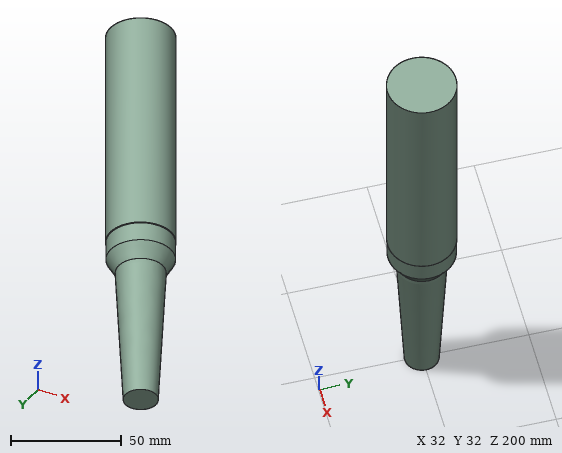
import math

import cadquery as cq

total_length = 200.0
shank_diameter = 32.0
collar_diameter = 31.6
neck_diameter = 23.1
tip_diameter = 16.0
neck_top_height = 70.0
shank_bottom_height = 87.0

taper_half_angle = 3.0
shoulder_half_angle = 30.0

shank_radius = shank_diameter / 2
collar_radius = collar_diameter / 2
neck_radius = neck_diameter / 2
tip_radius = tip_diameter / 2


def cone_height(small_radius, large_radius, half_angle):
    """Axial height of a cone frustum between two radii."""
    return (large_radius - small_radius) / math.tan(math.radians(half_angle))


taper_top_height = cone_height(tip_radius, neck_radius, taper_half_angle)
collar_bottom_height = neck_top_height + cone_height(neck_radius, collar_radius, shoulder_half_angle)
collar_top_height = shank_bottom_height - cone_height(collar_radius, shank_radius, shoulder_half_angle)


def turned_body():
    """Revolve the half profile about Z: tapered tip, neck, conical shoulder, collar and shank."""
    profile = (
        cq.Workplane("YZ")
        .moveTo(0, 0)
        .lineTo(tip_radius, 0)
        .lineTo(neck_radius, taper_top_height)
        .lineTo(neck_radius, neck_top_height)
        .lineTo(collar_radius, collar_bottom_height)
        .lineTo(collar_radius, collar_top_height)
        .lineTo(shank_radius, shank_bottom_height)
        .lineTo(shank_radius, total_length)
        .lineTo(0, total_length)
        .close()
    )
    return profile.revolve(360, (0, 0, 0), (0, 1, 0))


result = turned_body()